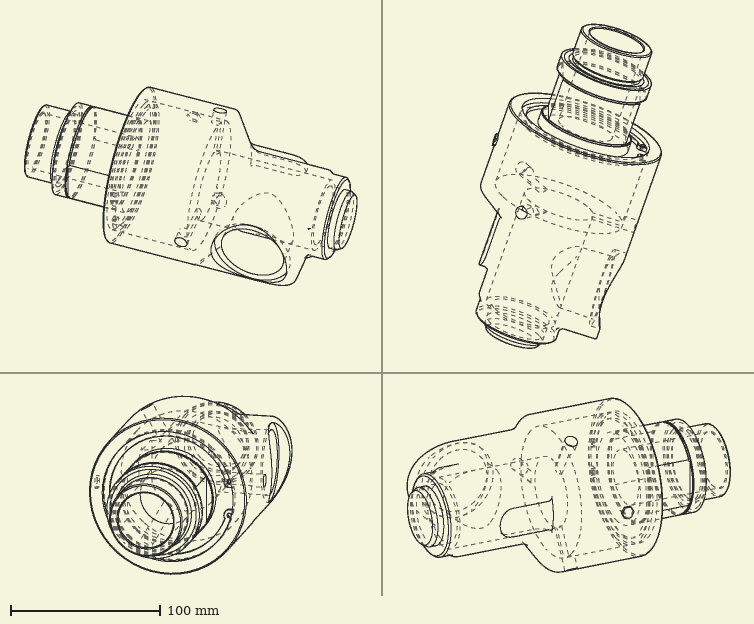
import cadquery as cq
import math


total_length = 221.5
nose_radius = 25.0
nose_length = 18.8
nose_chamfer = 0.9
neck_radius = 24.0
shaft_radius = 31.9
collar_start = 22.1
collar_end = 31.5
flats_end = 63.5
across_flats = 54.5
relief_width = 1.3
relief_depth = 0.7
rotor_bore_radius = 19.0
rotor_bore_depth = 66.5
rotor_bore_chamfer = 0.7
bead_middle_radius = 28.1
bead_section_radius = 2.0
bead_height = 0.9

seat_radius = 45.05
seat_start = 71.7
seat_end = 122.7
core_radius = 24.4
core_end = 203.7
stub_radius = 20.4
stub_chamfer_length = 3.0
stub_chamfer_depth = 1.8

body_radius = 54.0
housing_start = 65.8
body_end = 127.3
body_chamfer = 0.9
blank_radius = body_radius + 8.0
cone_slope = 1.33
barrel_radius = 30.5
barrel_fillet = 12.8
barrel_end = 199.3
rear_radius = 28.5
rear_step_end = 203.7
housing_end = 214.0
rear_chamfer = 1.3

boss_end_x = 174.0
boss_half_height = 30.1
boss_root_fillet = 3.3
boss_rim_fillet = 1.0
port_x = 169.6
port_radius = 21.6
port_mouth_radius = 22.1
port_taper_length = 17.7
counterbore_radius = 26.9
counterbore_floor = 46.5

pad_start_x = 128.5
pad_end_x = 169.6
pad_half_width = 10.5
pad_height = 37.2
pad_root_fillet = 3.3

vent_x = 121.3
vent_radius = 4.32
vent_count = 3
hexagon_x = 93.0
hexagon_across_corners = 8.9
hexagon_height = 1.5

ring_thickness = 2.7
ring_start = seat_start - ring_thickness
ring_inner_radius = 41.0
ear_half_gap = 7.8
ear_radius = 3.88
ear_y = -41.75
ear_hole_radius = 1.5


def revolve_about_x(profile):
    return profile.close().revolve(360, (0, 0, 0), (1, 0, 0))


def cylinder_along_x(start, end, radius):
    return cq.Workplane("YZ", origin=(start, 0, 0)).circle(radius).extrude(end - start)


def tube_along_x(start, end, outer_radius, inner_radius):
    return cq.Workplane("YZ", origin=(start, 0, 0)).circle(outer_radius).circle(inner_radius).extrude(end - start)


def make_rotor_blank():
    profile = (
        cq.Workplane("XY")
        .moveTo(0, 0)
        .lineTo(0, nose_radius - nose_chamfer)
        .lineTo(nose_chamfer, nose_radius)
        .lineTo(nose_length, nose_radius)
        .lineTo(nose_length + nose_radius - neck_radius, neck_radius)
        .lineTo(collar_start, neck_radius)
        .lineTo(collar_start, shaft_radius)
        .lineTo(seat_start, shaft_radius)
        .lineTo(seat_start, seat_radius)
        .lineTo(seat_end, seat_radius)
        .lineTo(seat_end, core_radius)
        .lineTo(core_end, core_radius)
        .lineTo(core_end, stub_radius)
        .lineTo(total_length - stub_chamfer_length, stub_radius)
        .lineTo(total_length, stub_radius - stub_chamfer_depth)
        .lineTo(total_length, 0)
    )
    return revolve_about_x(profile)


def make_flat_cutter(side):
    """Block that cuts one wrench flat, from the middle of one relief groove to the other."""
    flats_start = collar_end + relief_width / 2
    centre_y = side * (across_flats + shaft_radius) / 2
    block = cq.Workplane("XY", origin=((flats_start + flats_end) / 2, centre_y, 0))
    return block.box(flats_end - flats_start, shaft_radius, 2 * shaft_radius)


def make_bead():
    """Rounded sealing bead standing out of the front face of the collar."""
    centre_x = collar_start - bead_height + bead_section_radius
    section = cq.Workplane("XY").center(centre_x, bead_middle_radius).circle(bead_section_radius)
    return section.revolve(360, (0, -bead_middle_radius, 0), (1, -bead_middle_radius, 0))


def make_rotor_bore():
    mouth_radius = rotor_bore_radius + rotor_bore_chamfer
    profile = (
        cq.Workplane("XY")
        .moveTo(0, 0)
        .lineTo(0, mouth_radius)
        .lineTo(rotor_bore_chamfer, rotor_bore_radius)
        .lineTo(rotor_bore_depth, rotor_bore_radius)
        .lineTo(rotor_bore_depth, 0)
    )
    return revolve_about_x(profile)


def make_rotor():
    rotor = make_rotor_blank()
    for start in (collar_end, flats_end - relief_width / 2):
        relief = tube_along_x(start, start + relief_width, shaft_radius, shaft_radius - relief_depth)
        rotor = rotor.cut(relief)
    for side in (1, -1):
        rotor = rotor.cut(make_flat_cutter(side))
    return rotor.union(make_bead()).cut(make_rotor_bore())


def make_housing_blank():
    """Oversize body, cone, barrel and rear step as one turned shape."""
    cone_angle = math.atan(cone_slope)
    cone_foot = body_end + (body_radius - barrel_radius) / cone_slope
    blank_cone_start = body_end - (blank_radius - body_radius) / cone_slope
    tangent = barrel_fillet * math.tan(cone_angle / 2)
    fillet_start_x = cone_foot - tangent * math.cos(cone_angle)
    fillet_start_radius = barrel_radius + tangent * math.sin(cone_angle)
    profile = (
        cq.Workplane("XY")
        .moveTo(housing_start, 0)
        .lineTo(housing_start, blank_radius)
        .lineTo(blank_cone_start, blank_radius)
        .lineTo(fillet_start_x, fillet_start_radius)
        .tangentArcPoint((cone_foot + tangent, barrel_radius), relative=False)
        .lineTo(barrel_end, barrel_radius)
        .spline([(rear_step_end, rear_radius)], tangents=[(1, 0), (1, 0)], includeCurrent=True)
        .lineTo(housing_end - rear_chamfer, rear_radius)
        .lineTo(housing_end, rear_radius - rear_chamfer)
        .lineTo(housing_end, 0)
    )
    return revolve_about_x(profile)


def make_slot_towards_y(start_x, end_x, radius, height):
    """Round-ended block between two end axes; a negative height goes towards -Y."""
    slot = cq.Workplane("XZ", origin=((start_x + end_x) / 2, 0, 0))
    return slot.slot2D(end_x - start_x + 2 * radius, 2 * radius).extrude(-height)


def add_port_boss(housing):
    boss_start_x = body_end - boss_half_height
    overshoot = blank_radius + boss_root_fillet
    housing = housing.union(make_slot_towards_y(boss_start_x, boss_end_x, boss_half_height, -overshoot))
    cone_edges = cq.selectors.BoxSelector(
        (boss_start_x, -overshoot, -boss_half_height - 2.2),
        (body_end + boss_half_height / 2, 0, boss_half_height + 2.2),
        boundingbox=True,
    )
    housing = housing.edges(cone_edges).fillet(boss_root_fillet)
    envelope = cylinder_along_x(housing_start, total_length, body_radius)
    housing = housing.intersect(envelope.faces("<X").edges().chamfer(body_chamfer))
    rim_edges = cq.selectors.BoxSelector(
        (boss_end_x - 2.2, -body_radius - 2.2, -boss_half_height - 2.2),
        (boss_end_x + boss_half_height + 2.2, -barrel_radius, boss_half_height + 2.2),
        boundingbox=True,
    )
    return housing.edges(rim_edges).fillet(boss_rim_fillet)


def add_pad(housing):
    pad = make_slot_towards_y(pad_start_x, pad_end_x, pad_half_width, pad_height)
    housing = housing.union(pad.intersect(cylinder_along_x(0, total_length, pad_height)))
    root_edges = cq.selectors.BoxSelector(
        (pad_end_x - 2.2, 0, -pad_half_width - 2.2),
        (pad_end_x + pad_half_width + 2.2, barrel_radius + 2.2, pad_half_width + 2.2),
        boundingbox=True,
    )
    return housing.edges(root_edges).fillet(pad_root_fillet)


def make_hexagon():
    hexagon = cq.Workplane("XZ", origin=(hexagon_x, 0, 0)).polygon(6, hexagon_across_corners)
    return hexagon.extrude(-(body_radius + hexagon_height))


def make_port():
    bore = cq.Workplane("XZ", origin=(port_x, 0, 0)).circle(port_radius).extrude(counterbore_floor)
    taper = (
        cq.Workplane("XZ", origin=(port_x, -counterbore_floor, 0))
        .circle(port_mouth_radius)
        .workplane(offset=-port_taper_length)
        .circle(port_radius)
        .loft()
    )
    counterbore = cq.Workplane("XZ", origin=(port_x, -counterbore_floor, 0)).circle(counterbore_radius)
    return bore.union(taper).union(counterbore.extrude(body_radius - counterbore_floor + 2.2))


def make_vent(angle):
    vent = cq.Workplane("XZ", origin=(vent_x, 0, 0)).circle(vent_radius).extrude(body_radius + 2.2)
    return vent.rotate((0, 0, 0), (1, 0, 0), angle)


def make_housing():
    housing = add_pad(add_port_boss(make_housing_blank()))
    housing = housing.union(make_hexagon()).cut(make_port())
    for index in range(vent_count):
        housing = housing.cut(make_vent(index * 360 / vent_count))
    housing = housing.cut(cylinder_along_x(housing_start, seat_end, seat_radius))
    housing = housing.cut(cylinder_along_x(seat_end, core_end, core_radius))
    return housing.cut(cylinder_along_x(core_end, housing_end, stub_radius))


def make_retaining_ring():
    ring = tube_along_x(ring_start, seat_start, seat_radius, ring_inner_radius)
    gap_depth = 2 * (seat_radius + ear_y + ear_radius)
    gap = cq.Workplane("XY", origin=(ring_start, -seat_radius, 0))
    ring = ring.cut(gap.box(4 * ring_thickness, gap_depth, 2 * ear_half_gap))
    envelope = cylinder_along_x(ring_start, seat_start, seat_radius)
    for side in (1, -1):
        ear_centre = cq.Workplane("YZ", origin=(ring_start, ear_y, side * (ear_half_gap + ear_radius)))
        ring = ring.union(ear_centre.circle(ear_radius).extrude(ring_thickness).intersect(envelope))
        ring = ring.cut(ear_centre.circle(ear_hole_radius).extrude(ring_thickness))
    return ring


rotor = make_rotor()
housing = make_housing()
retaining_ring = make_retaining_ring()

result = cq.Compound.makeCompound([rotor.val(), housing.val(), retaining_ring.val()])